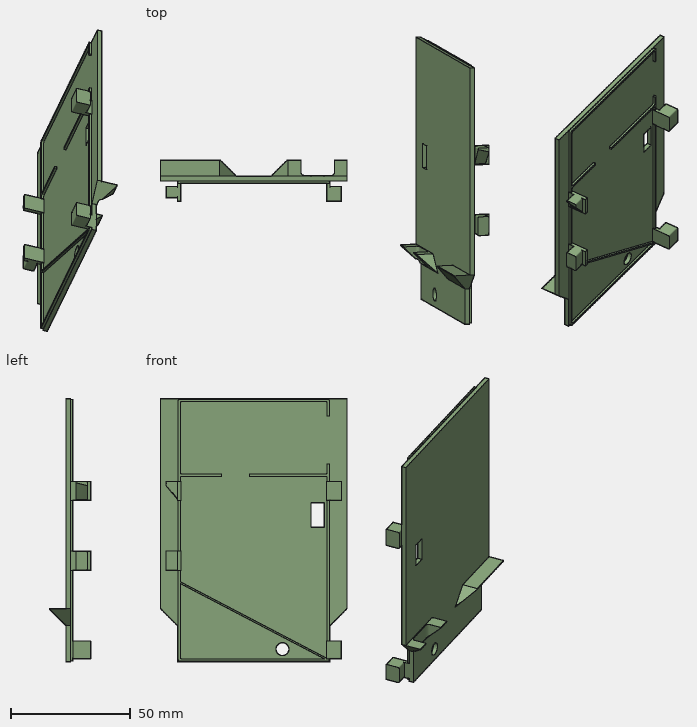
import cadquery as cq
import math


panel_width = 78.0
panel_height = 109.98
panel_thickness = 2.0
corner_cut = 7.1
shoulder_z = 22.2
half_width = panel_width / 2
foot_half_width = half_width - corner_cut
cut_bottom_z = shoulder_z - corner_cut

hole_diameter = 5.3
hole_x, hole_z = 12.0, 5.3
window_left, window_right = 24.0, 29.4
window_bottom, window_top = 56.3, 66.4

line_width = 0.9
line_depth = 1.0
line_margin = 0.3
line_corner = 0.7
frame_half_width = foot_half_width - line_margin
divider_z = 77.5
divider_gap_left, divider_gap_right = -13.4, -1.7
side_gap_bottom, side_gap_top = 82.7, 102.6
diagonal_width = 0.65
diagonal_start = (-frame_half_width + line_width / 2, 33.3)
diagonal_end = (frame_half_width - line_width / 2, line_margin + line_width / 2)

hook_height = 8.0
hook_reach = 8.5
hook_wall = 1.5
hook_arm = 4.75
arm_clearance = 2.25
left_arm_reach = 7.0
arm_round = 0.5
upper_hook_z = 67.4
left_hook_z = 38.2
lower_right_hook_z = 1.2
lower_right_hook_height = 7.5
wedge_lip_back, wedge_lip_front = 0.6, 1.8

ledge_depth = 6.77
ledge_lip = corner_cut - ledge_depth
ledge_inner_x = 14.3
notch_left, notch_right = 19.8, 33.7
notch_floor = 0.35
notch_round = 1.3


def box(x0, x1, y0, y1, z0, z1):
    return cq.Workplane("XY").box(x1 - x0, y1 - y0, z1 - z0, centered=False).translate((x0, y0, z0))


def prism_y(outline, y_front, y_back):
    """Extrude an (x, z) outline from y_front back to y_back."""
    sketch = cq.Workplane("XZ", origin=(0, y_back, 0)).polyline(outline).close()
    return sketch.extrude(y_back - y_front)


def make_panel():
    outline = [
        (-foot_half_width, 0),
        (foot_half_width, 0),
        (foot_half_width, cut_bottom_z),
        (half_width, shoulder_z),
        (half_width, panel_height),
        (-half_width, panel_height),
        (-half_width, shoulder_z),
        (-foot_half_width, cut_bottom_z),
    ]
    return prism_y(outline, 0, panel_thickness)


def make_raised_lines():
    outer_top = panel_height - line_margin
    inner_half = frame_half_width - line_width
    lines = box(-frame_half_width, frame_half_width, -line_depth, 0, line_margin, outer_top)
    lines = lines.edges("|Y").fillet(line_corner)

    fields = (
        (line_margin + line_width, divider_z),
        (divider_z + line_width, outer_top - line_width),
    )
    for bottom, top in fields:
        field = box(-inner_half, inner_half, -line_depth, 0, bottom, top)
        lines = lines.cut(field.edges("|Y").fillet(line_corner))

    divider_gap = box(divider_gap_left, divider_gap_right, -line_depth, 0, divider_z, divider_z + line_width)
    side_gap = box(inner_half, frame_half_width, -line_depth, 0, side_gap_bottom, side_gap_top)
    return lines.cut(divider_gap).cut(side_gap).union(make_diagonal())


def make_diagonal():
    run = diagonal_end[0] - diagonal_start[0]
    rise = diagonal_end[1] - diagonal_start[1]
    length = math.hypot(run, rise)
    tilt = math.degrees(math.atan2(rise, run))
    bar = box(0, length, -line_depth, 0, -diagonal_width / 2, diagonal_width / 2)
    bar = bar.rotate((0, 0, 0), (0, -1, 0), tilt)
    return bar.translate((diagonal_start[0], 0, diagonal_start[1]))


def make_wall(side, bottom):
    """Upright hook wall; side is -1 for the left edge and +1 for the right edge."""
    ends = sorted((side * foot_half_width, side * (foot_half_width - hook_wall)))
    return box(ends[0], ends[1], -hook_reach, 0, bottom, bottom + hook_height)


def make_left_hook(bottom):
    arm = box(
        -foot_half_width - hook_arm,
        -foot_half_width,
        -left_arm_reach,
        -arm_clearance,
        bottom,
        bottom + hook_height,
    )
    return make_wall(-1, bottom).union(arm.edges("|X").fillet(arm_round))


def make_tapered_hook(bottom):
    top = bottom + hook_height
    outer_x = -foot_half_width - hook_arm

    def profile(lip):
        return [
            (-foot_half_width, bottom + arm_round),
            (-foot_half_width, top),
            (outer_x, top),
            (outer_x, top - lip),
        ]

    arm = (
        cq.Workplane("XZ", origin=(0, -arm_clearance, 0))
        .polyline(profile(wedge_lip_back))
        .close()
        .workplane(offset=left_arm_reach - arm_clearance)
        .polyline(profile(wedge_lip_front))
        .close()
        .loft(ruled=True)
    )
    return make_wall(-1, bottom).union(arm.faces(">Z").edges("|X").fillet(arm_round))


def make_right_hook(bottom, height):
    block = box(
        foot_half_width - hook_wall,
        foot_half_width + hook_arm,
        -hook_reach,
        -arm_clearance,
        bottom,
        bottom + height,
    )
    block = block.edges("|X").fillet(arm_round)
    stem = box(
        foot_half_width - hook_wall,
        foot_half_width,
        -hook_reach / 2,
        0,
        bottom,
        bottom + height,
    )
    return block.union(stem)


def make_ledges():
    """Wedge across the back, split in two by slanted inner ends and notched on the right."""
    back = panel_thickness + ledge_depth
    wedge = (
        cq.Workplane("YZ", origin=(-half_width, 0, 0))
        .moveTo(panel_thickness, cut_bottom_z)
        .lineTo(back, shoulder_z - ledge_lip)
        .lineTo(back, shoulder_z)
        .lineTo(panel_thickness, shoulder_z)
        .close()
        .extrude(panel_width)
    )
    inner_foot_x = ledge_inner_x - corner_cut
    left = [
        (-half_width, shoulder_z),
        (-ledge_inner_x, shoulder_z),
        (-inner_foot_x, cut_bottom_z),
        (-foot_half_width, cut_bottom_z),
    ]
    right = [(-x, z) for x, z in left]
    left_ledge = wedge.intersect(prism_y(left, panel_thickness, back))
    right_ledge = wedge.intersect(prism_y(right, panel_thickness, back))

    notch = box(notch_left, notch_right, panel_thickness + notch_floor, back, cut_bottom_z, shoulder_z)
    notch = notch.faces("<Y").edges("|Z").fillet(notch_round)
    return left_ledge.union(right_ledge.cut(notch))


def make_openings():
    window = box(window_left, window_right, -line_depth, panel_thickness, window_bottom, window_top)
    hole = (
        cq.Workplane("XZ", origin=(hole_x, panel_thickness, hole_z))
        .circle(hole_diameter / 2)
        .extrude(panel_thickness)
    )
    return window.union(hole)


result = (
    make_panel()
    .union(make_raised_lines())
    .union(make_ledges())
    .union(make_tapered_hook(upper_hook_z))
    .union(make_left_hook(left_hook_z))
    .union(make_right_hook(upper_hook_z, hook_height))
    .union(make_right_hook(lower_right_hook_z, lower_right_hook_height))
    .cut(make_openings())
)